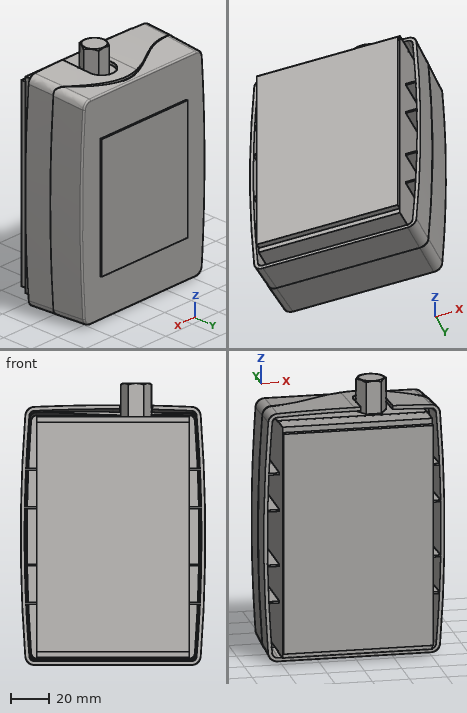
import cadquery as cq
import math

COVER_DEPTH = 39.0
CREASE_Y = 17.5
WALL = 2.0
CORNER_RADIUS = 5.0
BACK_FILLET = 1.0

RIM_SECTION = (48.35, 45.6, 67.9, 1.1, -67.1)
CREASE_SECTION = (47.95, 45.2, 67.0, 0.0, -66.5)
BACK_SECTION = (46.9, 44.5, 65.5, 0.0, -65.6)
CROWN_END_SECTION = (46.9, 44.5, 66.0, 1.1, -65.6)

CREST_POINTS = [(-41.0, CREASE_Y), (-16.8, 25.7), (9.1, 36.1), (27.0, 30.6), (44.4, CREASE_Y)]
CREST_START_DIRECTION = (1, 0)
CREST_END_DIRECTION = (7.0, -5.5)
TOOL_SIZE = 100.0

BLOCK_WIDTH = 80.0
BLOCK_HEIGHT = 126.0
BLOCK_FRONT_Y = -8.0
BLOCK_BACK_Y = 4.2
INNER_STEP = 0.5
FRONT_PAD_WIDTH = 79.9
FRONT_PAD_HEIGHT = 120.0
FRONT_PAD_THICKNESS = 3.0
BACK_PAD_WIDTH = 65.0
BACK_PAD_HEIGHT = 80.0
BACK_PAD_THICKNESS = 1.0

RIB_THICKNESS = 1.0
RIB_CENTRE_Z = 0.3
RIB_OFFSETS = (-35.0, -15.0, 15.0, 35.0)

BOLT_X = 12.1
BOLT_Y = 15.2
BOLT_ACROSS_FLATS = 14.0
BOLT_TOP_Z = 80.42
BOLT_CHAMFER_RADIUS = 6.8
BOLT_CHAMFER_ANGLE = 30.0
SLOT_WIDTH = 17.0
SLOT_ARC_Y = 20.0


def box(width, y_start, y_end, z_low, z_high):
    """Box centred on X = 0, given by its Y and Z limits."""
    size = (width, y_end - y_start, z_high - z_low)
    corner = (-width / 2, y_start, z_low)
    return cq.Workplane("XY").box(*size, centered=False).translate(corner)


def cover_section(y, section, inset=0.0):
    """Closed cover outline in the plane at depth y, with bulged sides and a crowned top."""
    half_mid, half_end, top, crown, bottom = section
    half_mid -= inset
    half_end -= inset
    top -= inset
    bottom += inset
    mid_z = (top + bottom) / 2
    outline = cq.Workplane("XZ", origin=(0, y, 0)).moveTo(-half_end, bottom)
    outline = outline.lineTo(half_end, bottom)
    outline = outline.threePointArc((half_mid, mid_z), (half_end, top))
    if crown:
        crown_radius = (half_end ** 2 + crown ** 2) / (2 * crown)
        half_x = half_end / 2
        half_z = top + crown - crown_radius + math.sqrt(crown_radius ** 2 - half_x ** 2)
        outline = outline.threePointArc((half_x, half_z), (0, top + crown))
        outline = outline.threePointArc((-half_x, half_z), (-half_end, top))
    else:
        outline = outline.lineTo(0, top).lineTo(-half_end, top)
    wire = outline.threePointArc((-half_mid, mid_z), (-half_end, bottom)).wire().val()
    corners = [v for v in wire.Vertices() if abs(v.X) > half_end / 2]
    return wire.fillet2D(CORNER_RADIUS - inset, corners)


def loft(front_wire, back_wire):
    return cq.Workplane(cq.Solid.makeLoft([front_wire, back_wire], True))


def crown_tool():
    """Region kept from the crowned body: all in front of the crease, plus the crest above."""
    front = box(2 * TOOL_SIZE, -TOOL_SIZE, CREASE_Y, -TOOL_SIZE, TOOL_SIZE)
    crest = (
        cq.Workplane("XY")
        .moveTo(*CREST_POINTS[0])
        .spline(
            CREST_POINTS[1:],
            tangents=[CREST_START_DIRECTION, CREST_END_DIRECTION],
            includeCurrent=True,
        )
        .close()
        .extrude(TOOL_SIZE)
    )
    return front.union(crest)


def cover_body(inset=0.0):
    """Solid bounded by the cover surfaces, or by those surfaces moved inwards by the inset."""
    rim = cover_section(0, RIM_SECTION, inset)
    crown_end = cover_section(COVER_DEPTH, CROWN_END_SECTION, inset)
    crease = cover_section(CREASE_Y, CREASE_SECTION, inset)
    back_end = cover_section(COVER_DEPTH, BACK_SECTION, inset)
    crowned = loft(rim, crown_end).intersect(crown_tool())
    return crowned.union(loft(crease, back_end))


def make_cover():
    body = cover_body().faces(">Y").edges().fillet(BACK_FILLET)
    inside = box(2 * TOOL_SIZE, 0, COVER_DEPTH - WALL, -TOOL_SIZE, TOOL_SIZE)
    cavity = cover_body(WALL).intersect(inside)
    return body.cut(cavity).cut(make_slot())


def make_slot():
    """Round-ended opening through the top wall, open to the rim."""
    bottom = BLOCK_HEIGHT / 2
    radius = SLOT_WIDTH / 2
    straight = box(SLOT_WIDTH, 0, SLOT_ARC_Y, bottom, TOOL_SIZE).translate((BOLT_X, 0, 0))
    end = cq.Workplane("XY", origin=(BOLT_X, SLOT_ARC_Y, bottom)).circle(radius).extrude(TOOL_SIZE)
    return straight.union(end)


def make_core():
    """Front block, inner body behind it and the two flat pads."""
    half = BLOCK_HEIGHT / 2
    inner_half = half - INNER_STEP
    front_pad_y = BLOCK_FRONT_Y - FRONT_PAD_THICKNESS
    back_pad_y = COVER_DEPTH + BACK_PAD_THICKNESS
    front_pad_half = FRONT_PAD_HEIGHT / 2
    back_pad_half = BACK_PAD_HEIGHT / 2
    block = box(BLOCK_WIDTH, BLOCK_FRONT_Y, BLOCK_BACK_Y, -half, half)
    inner = box(BLOCK_WIDTH, BLOCK_BACK_Y, COVER_DEPTH - WALL, -inner_half, inner_half)
    front_pad = box(FRONT_PAD_WIDTH, front_pad_y, BLOCK_FRONT_Y, -front_pad_half, front_pad_half)
    back_pad = box(BACK_PAD_WIDTH, COVER_DEPTH - WALL, back_pad_y, -back_pad_half, back_pad_half)
    return block.union(inner).union(front_pad).union(back_pad)


def make_ribs():
    """Thin ribs joining the block to both side walls, flush with the rim and rooted in the walls."""
    half = RIB_THICKNESS / 2
    ribs = cq.Workplane("XY")
    for offset in RIB_OFFSETS:
        z = RIB_CENTRE_Z + offset
        ribs = ribs.add(box(2 * TOOL_SIZE, 0, COVER_DEPTH - WALL, z - half, z + half))
    return ribs.combine().intersect(cover_body(WALL / 2))


def make_bolt():
    """Hexagonal bolt along Z with its top corners turned to a cone."""
    base_z = BLOCK_HEIGHT / 2 - INNER_STEP
    across_corners = BOLT_ACROSS_FLATS / math.cos(math.pi / 6)
    hexagon = (
        cq.Workplane("XY", origin=(BOLT_X, BOLT_Y, base_z))
        .polygon(6, across_corners)
        .extrude(BOLT_TOP_Z - base_z)
    )
    run = across_corners - BOLT_CHAMFER_RADIUS
    cone_z = BOLT_TOP_Z - run * math.tan(math.radians(BOLT_CHAMFER_ANGLE))
    turned = (
        cq.Workplane("XZ")
        .moveTo(0, base_z)
        .lineTo(BOLT_CHAMFER_RADIUS + run, base_z)
        .lineTo(BOLT_CHAMFER_RADIUS + run, cone_z)
        .lineTo(BOLT_CHAMFER_RADIUS, BOLT_TOP_Z)
        .lineTo(0, BOLT_TOP_Z)
        .close()
        .revolve(360, (0, 0), (0, 1))
        .translate((BOLT_X, BOLT_Y, 0))
    )
    return hexagon.intersect(turned)


result = make_cover().union(make_core()).union(make_ribs()).union(make_bolt())